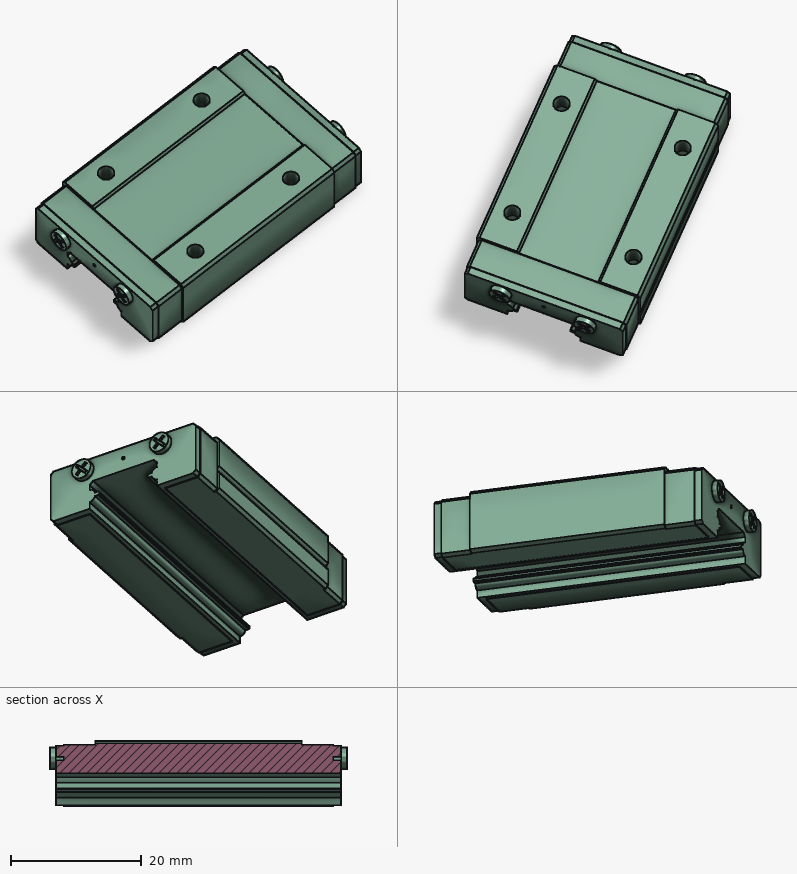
import cadquery as cq
import math

length = 45.4
width = 27.0
height = 10.0
edge_chamfer = 0.5

block_length = 31.6
cap_length = 4.8
cap_width = 26.35
cap_height = 9.4
seal_length = 1.2
seal_width = 26.1
seal_bottom = 0.15
seal_top = 9.25
cap_end = block_length / 2 + cap_length
seal_end = cap_end + seal_length

relief_width = 13.75
relief_depth = 0.35

groove_z = 3.95
groove_half_height = 0.55
groove_depth = 0.3

channel_ceiling = 5.05
channel_width = 12.08
mouth_width = 13.55
channel_chamfer = 0.6

lip_z = 2.45
lip_radius = 1.15
lip_setback = 0.15
lip_tip_reach = 1.7
lip_tip_height = 0.65
lip_tip_chamfer = 0.15

hole_diameter = 2.5
hole_depth = 3.5
hole_spacing = 19.98
drill_point_angle = 118.0

screw_spacing = 14.0
screw_z = 7.3
screw_head_diameter = 3.35
recess_length = 2.35
recess_width = 0.45
recess_depth = 0.4

port_diameter = 0.5


def chamfered_bar(bar_width, bottom, top, bar_length):
    """Bar centred on X and Y whose four long edges are chamfered."""
    bar = cq.Workplane("XY").box(bar_width, bar_length, top - bottom, centered=(True, True, False))
    return bar.translate((0, 0, bottom)).edges("|Y").chamfer(edge_chamfer)


def add_ends(body, inner_end, end_bar):
    """Join to the body only those parts of a bar that lie beyond +-inner_end in Y."""
    middle = cq.Workplane("XY").box(width, 2 * inner_end, 2 * height)
    return body.union(end_bar.cut(middle))


def along_y(sketch_plane, bar_length):
    """Extrude an XZ outline equally to both sides of Y = 0."""
    return sketch_plane.extrude(bar_length / 2, both=True)


def make_block():
    block = chamfered_bar(width, 0, height, block_length)
    floor_half = relief_width / 2 - relief_depth
    relief = (
        cq.Workplane("XZ")
        .moveTo(-relief_width / 2, height)
        .lineTo(-floor_half, height - relief_depth)
        .lineTo(floor_half, height - relief_depth)
        .lineTo(relief_width / 2, height)
        .close()
    )
    groove_radius = (groove_half_height**2 + groove_depth**2) / (2 * groove_depth)
    groove_x = -width / 2 + groove_depth - groove_radius
    groove = cq.Workplane("XZ").center(groove_x, groove_z).circle(groove_radius)
    return block.cut(along_y(relief, block_length)).cut(along_y(groove, block_length))


def make_lip():
    """Ridge on the -X wall: a round nose with a small chamfered tip."""
    wall_x = -channel_width / 2
    nose = cq.Workplane("XZ").center(wall_x - lip_setback, lip_z).circle(lip_radius)
    tip = cq.Workplane("XZ").center(wall_x + lip_tip_reach / 2, lip_z).rect(lip_tip_reach, lip_tip_height)
    tip = along_y(tip, 2 * seal_end).edges("|Y and >X").chamfer(lip_tip_chamfer)
    return along_y(nose, 2 * seal_end).union(tip)


def make_channel():
    """Space for the rail: chamfered ceiling, ridged walls and a relieved mouth."""
    channel = cq.Workplane("XY").box(channel_width, 2 * seal_end, channel_ceiling, centered=(True, True, False))
    channel = channel.edges("|Y and >Z").chamfer(channel_chamfer)
    lip = make_lip()
    channel = channel.cut(lip).cut(lip.mirror("YZ"))
    mouth = cq.Workplane("XY").box(mouth_width, 2 * seal_end, seal_bottom, centered=(True, True, False))
    return channel.union(mouth)


def make_mounting_hole():
    """Blind drilled hole from the top face, ending in a drill point."""
    radius = hole_diameter / 2
    point_depth = radius / math.tan(math.radians(drill_point_angle / 2))
    return (
        cq.Workplane("XZ")
        .moveTo(0, height)
        .lineTo(radius, height)
        .lineTo(radius, height - hole_depth)
        .lineTo(0, height - hole_depth - point_depth)
        .close()
        .revolve(360, (0, 0, 0), (0, 1, 0))
    )


def make_screw_head():
    """Head on the -Y end with a cross recess, axis on X = 0."""
    head_length = length / 2 - seal_end
    face = cq.Workplane("XZ", origin=(0, -length / 2, screw_z))
    head = face.circle(screw_head_diameter / 2).extrude(-head_length)
    for angle in (45, -45):
        slot = face.transformed(rotate=(0, 0, angle)).rect(recess_length, recess_width).extrude(-recess_depth)
        head = head.cut(slot)
    return head


caps = chamfered_bar(cap_width, 0, cap_height, 2 * cap_end)
seals = chamfered_bar(seal_width, seal_bottom, seal_top, 2 * seal_end)
result = add_ends(make_block(), block_length / 2, caps)
result = add_ends(result, cap_end, seals)
result = result.cut(make_channel())

for y_side in (-1, 1):
    port_center = (0, y_side * (cap_end + seal_length / 2), screw_z)
    port = along_y(cq.Workplane("XZ").circle(port_diameter / 2), seal_length)
    result = result.cut(port.translate(port_center))

mounting_hole = make_mounting_hole()
for x_side in (-1, 1):
    for y_side in (-1, 1):
        result = result.cut(mounting_hole.translate((x_side * hole_spacing / 2, y_side * hole_spacing / 2, 0)))

screw_head = make_screw_head()
for x_side in (-1, 1):
    screw = screw_head.translate((x_side * screw_spacing / 2, 0, 0))
    result = result.union(screw).union(screw.mirror("XZ"))